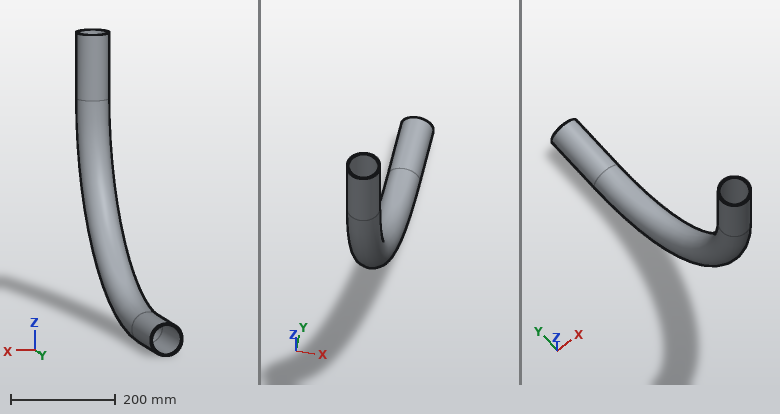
import cadquery as cq

overall_size = 540.0
outer_diameter = 63.5
inner_diameter = 57.0
straight_length = 127.5

outer_radius = outer_diameter / 2
bend_radius = overall_size - outer_radius - straight_length
bend_angle = 90


def pipe_ring(plane):
    """Return the annular pipe section, drawn on the given plane."""
    return cq.Workplane(plane).circle(outer_diameter / 2).circle(inner_diameter / 2)


upright_joint = cq.Plane(origin=(0, 0, bend_radius), xDir=(1, 0, 0), normal=(0, 0, 1))
level_joint = cq.Plane(origin=(0, bend_radius, 0), xDir=(1, 0, 0), normal=(0, 1, 0))

upright_leg = pipe_ring(upright_joint).extrude(straight_length)
level_leg = pipe_ring(level_joint).extrude(straight_length)

bend = pipe_ring(upright_joint).revolve(bend_angle, (0, bend_radius, 0), (1, bend_radius, 0))

result = bend.union(upright_leg, clean=False).union(level_leg, clean=False)